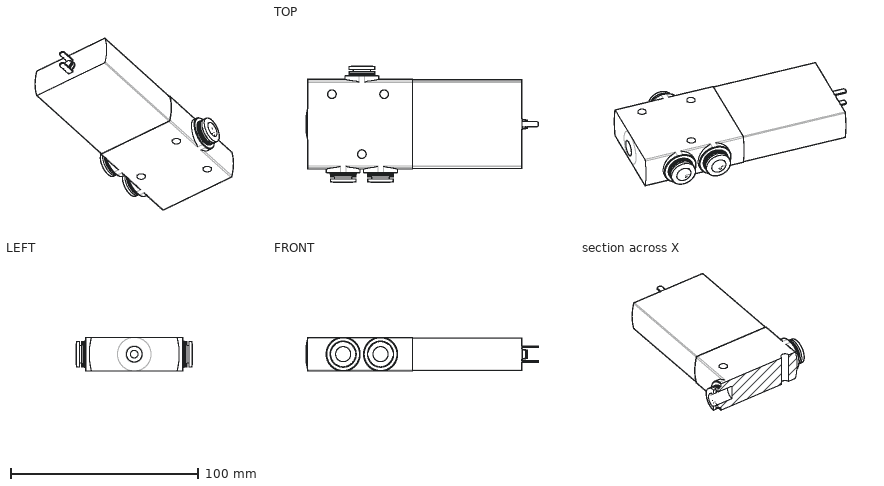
import cadquery as cq

cone_rise = 0.9
body_start = cone_rise
body_length = 56.0
body_end = body_start + body_length
body_width = 48.0
body_height = 18.0
side_bulge = 1.1
body_edge_fillet = 0.7

coil_end = 115.2
coil_inset = 0.2
coil_edge_fillet = 0.5

port_x = 29.8
port_pitch = 20.0
ports = [
    (port_x, 1),
    (port_x - port_pitch / 2, -1),
    (port_x + port_pitch / 2, -1),
]
bore_diameter = 8.0
bore_depth = 12.4

boss_diameter = 18.2
base_ring_diameter = 14.0
collar_diameter = 13.8
groove_diameter = 13.0
neck_diameter = 9.4

boss_root = 18.6
boss_face = 26.0
boss_chamfer = 0.4
base_ring_top = 26.5
lower_collar_top = 27.0
groove_top = 27.4
upper_collar_top = 28.1
flange_bottom = 29.1
flange_rim_top = 30.8
port_reach = 31.19

hole_diameter = 4.5
hole_y = 16.0
front_hole_x = 13.8
rear_hole_x = 41.7
hole_spots = [(front_hole_x, hole_y), (rear_hole_x, hole_y), (port_x, -hole_y)]

cone_base_diameter = 18.0
cone_tip_diameter = 8.9
recess_diameter = 8.3
recess_floor_diameter = 4.1
recess_depth = 1.9

stud_steps = [(5.6, 0.4), (5.0, 1.9), (3.8, 2.2), (4.5, 3.0)]

blade_tip = 124.0
blade_width = 3.0
blade_thickness = 0.8
blade_z = 3.9
blade_tip_chamfer = 0.6


def bulged_block(start, end, inset, edge_fillet):
    """Block along X whose two long sides are arcs, with rounded long edges."""
    half_width = body_width / 2 - inset
    half_height = body_height / 2 - inset
    flank = half_width - side_bulge
    return (
        cq.Workplane("YZ", origin=(start, 0, 0))
        .moveTo(-flank, -half_height)
        .lineTo(flank, -half_height)
        .threePointArc((half_width, 0), (flank, half_height))
        .lineTo(-flank, half_height)
        .threePointArc((-half_width, 0), (-flank, -half_height))
        .close()
        .extrude(end - start)
        .edges("|X")
        .fillet(edge_fillet)
    )


def make_port(x, side):
    """Round boss and stepped fitting along Y; side is +1 or -1."""
    outline = [
        (0, boss_root),
        (boss_diameter / 2, boss_root),
        (boss_diameter / 2, boss_face - boss_chamfer),
        (boss_diameter / 2 - boss_chamfer, boss_face),
        (base_ring_diameter / 2, boss_face),
        (base_ring_diameter / 2, base_ring_top),
        (collar_diameter / 2, base_ring_top),
        (collar_diameter / 2, lower_collar_top),
        (groove_diameter / 2, lower_collar_top),
        (groove_diameter / 2, groove_top),
        (collar_diameter / 2, groove_top),
        (collar_diameter / 2, upper_collar_top),
        (neck_diameter / 2, upper_collar_top),
        (neck_diameter / 2, flange_bottom),
        (collar_diameter / 2, flange_bottom),
        (collar_diameter / 2, flange_rim_top),
        (bore_diameter / 2, port_reach),
        (0, port_reach),
    ]
    port = cq.Workplane("XY").polyline(outline).close().revolve(360, (0, 0, 0), (0, 1, 0))
    port = port.intersect(cq.Workplane("XY").box(boss_diameter, 2 * port_reach, body_height))
    if side < 0:
        port = port.rotate((0, 0, 0), (0, 0, 1), 180)
    return port.translate((x, 0, 0))


def make_bore(x, side):
    """Blind port bore, running from the fitting's outer end towards the middle."""
    mouth = cq.Workplane("XZ", origin=(x, side * port_reach, 0)).circle(bore_diameter / 2)
    return mouth.extrude(side * bore_depth)


def tapered_disc(start_diameter, end_diameter, length):
    """Truncated cone along +X, starting at X = 0."""
    outline = [(0, 0), (0, start_diameter / 2), (length, end_diameter / 2), (length, 0)]
    return cq.Workplane("XY").polyline(outline).close().revolve(360, (0, 0, 0), (1, 0, 0))


def make_stud():
    """Stepped stud along +X, turned around the X axis and starting at the coil end."""
    outline = [(coil_end, 0)]
    step_start = 0
    for diameter, step_end in stud_steps:
        outline.append((coil_end + step_start, diameter / 2))
        outline.append((coil_end + step_end, diameter / 2))
        step_start = step_end
    outline.append((coil_end + step_start, 0))
    return cq.Workplane("XY").polyline(outline).close().revolve(360, (0, 0, 0), (1, 0, 0))


def make_blade(z):
    """Flat contact blade with a chamfered tip."""
    length = blade_tip - coil_end
    return (
        cq.Workplane("XY", origin=(coil_end + length / 2, 0, z))
        .box(length, blade_width, blade_thickness)
        .edges("|Z and >X")
        .chamfer(blade_tip_chamfer)
    )


body = bulged_block(body_start, body_end, 0, body_edge_fillet)
coil = bulged_block(body_end, coil_end, coil_inset, coil_edge_fillet)
result = body.union(coil)

for x, side in ports:
    result = result.union(make_port(x, side))
for x, side in ports:
    result = result.cut(make_bore(x, side))

holes = cq.Workplane("XY").pushPoints(hole_spots).circle(hole_diameter / 2).extrude(body_height, both=True)
result = result.cut(holes)

result = result.union(tapered_disc(cone_tip_diameter, cone_base_diameter, cone_rise))
result = result.cut(tapered_disc(recess_diameter, recess_floor_diameter, recess_depth))

result = result.union(make_stud())
for z in (blade_z, -blade_z):
    result = result.union(make_blade(z))